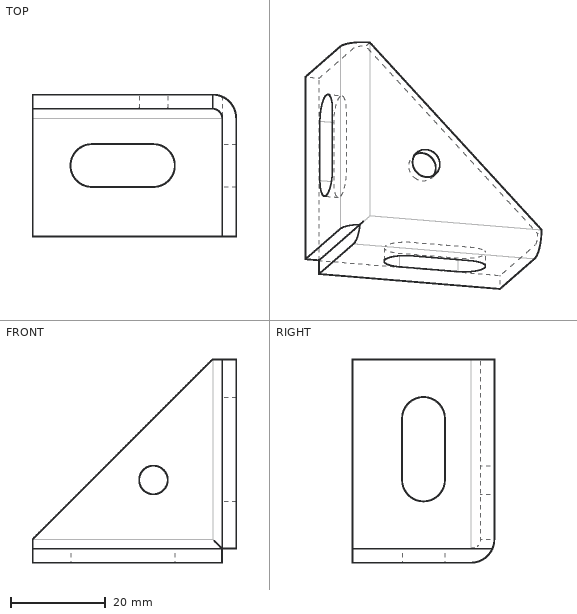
import cadquery as cq
import math

SIZE = 43.0
DEPTH = 30.0
THICKNESS = 3.0
INNER_BEND_RADIUS = 2.0
OUTER_BEND_RADIUS = INNER_BEND_RADIUS + THICKNESS

LEG_LENGTH = SIZE - THICKNESS
GUSSET_CORNER_X = SIZE - OUTER_BEND_RADIUS
BEND_CENTER_Y = DEPTH - OUTER_BEND_RADIUS

SLOT_LENGTH = 22.0
SLOT_WIDTH = 9.0
SLOT_CENTER_X = 19.0
SLOT_CENTER_Y = DEPTH / 2

GUSSET_HOLE_DIAMETER = 6.0
GUSSET_HOLE_X = 25.5
GUSSET_HOLE_Z = SIZE - GUSSET_HOLE_X


def bent_strip():
    """Horizontal leg with its quarter-round bend, square-ended along X."""
    mid_angle = math.radians(45)

    def bend_middle(radius):
        return (
            BEND_CENTER_Y + radius * math.sin(mid_angle),
            OUTER_BEND_RADIUS - radius * math.cos(mid_angle),
        )

    return (
        cq.Workplane("YZ")
        .moveTo(0, 0)
        .lineTo(BEND_CENTER_Y, 0)
        .threePointArc(bend_middle(OUTER_BEND_RADIUS), (DEPTH, OUTER_BEND_RADIUS))
        .lineTo(DEPTH - THICKNESS, OUTER_BEND_RADIUS)
        .threePointArc(bend_middle(INNER_BEND_RADIUS), (BEND_CENTER_Y, THICKNESS))
        .lineTo(0, THICKNESS)
        .close()
        .extrude(LEG_LENGTH)
    )


def mitre_envelope():
    """Space kept by the horizontal leg; its bend is mitred along the diagonal."""
    return (
        cq.Workplane("XZ")
        .polyline([
            (0, 0),
            (LEG_LENGTH, 0),
            (LEG_LENGTH, THICKNESS),
            (GUSSET_CORNER_X, OUTER_BEND_RADIUS),
            (0, OUTER_BEND_RADIUS),
        ])
        .close()
        .extrude(-DEPTH)
    )


def horizontal_leg():
    slot = (
        cq.Workplane("XY")
        .center(SLOT_CENTER_X, SLOT_CENTER_Y)
        .slot2D(SLOT_LENGTH, SLOT_WIDTH)
        .extrude(THICKNESS)
    )
    return bent_strip().intersect(mitre_envelope()).cut(slot)


def gusset():
    """Right-triangle plate at the back, with a round hole through it."""
    plate = (
        cq.Workplane("XZ", origin=(0, DEPTH, 0))
        .polyline([
            (0, OUTER_BEND_RADIUS),
            (GUSSET_CORNER_X, OUTER_BEND_RADIUS),
            (GUSSET_CORNER_X, SIZE),
        ])
        .close()
        .extrude(THICKNESS)
    )
    hole = (
        cq.Workplane("XZ", origin=(0, DEPTH, 0))
        .center(GUSSET_HOLE_X, GUSSET_HOLE_Z)
        .circle(GUSSET_HOLE_DIAMETER / 2)
        .extrude(THICKNESS)
    )
    return plate.cut(hole)


base_leg = horizontal_leg()
upright_leg = base_leg.mirror(cq.Vector(1, 0, 1), (SIZE, 0, 0))

result = gusset().union(base_leg).union(upright_leg)